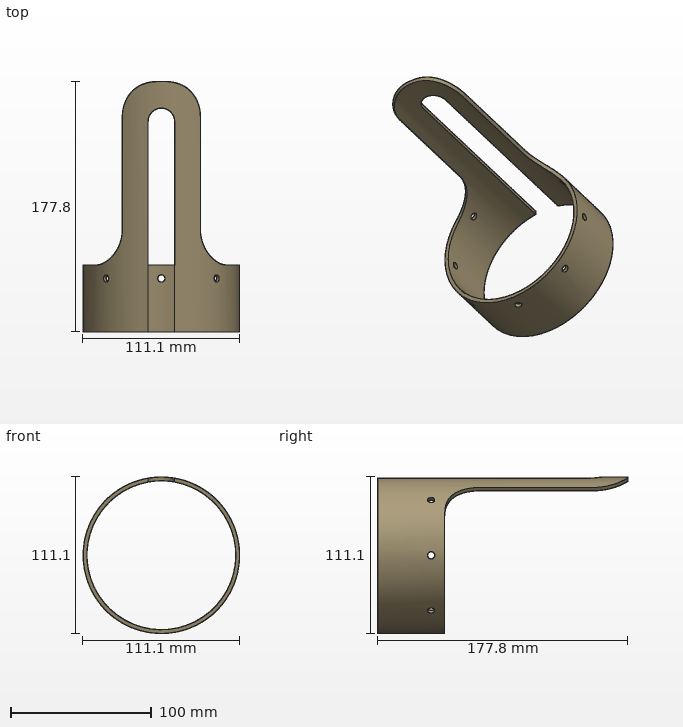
import cadquery as cq
import math

outer_diameter = 111.1
wall = 2.8
total_length = 177.8
ring_length = 47.7
tongue_angle = 60
corner_radius = 25.0
slot_width = 18.7
slot_end_y = 158.8
hole_diameter = 5.0
hole_y = 38.0
hole_count = 8

outer_radius = outer_diameter / 2
inner_radius = outer_radius - wall


def make_ring(length):
    """Tube along +Y from the front rim."""
    return cq.Workplane("XZ").circle(outer_radius).circle(inner_radius).extrude(-length)


def make_tongue():
    """Sector of the tube wall, centred on +Z, with radial side faces."""
    half_angle = math.radians(tongue_angle / 2)
    reach = 2 * outer_radius
    side_x = reach * math.sin(half_angle)
    side_z = reach * math.cos(half_angle)
    wedge = (
        cq.Workplane("XZ")
        .polyline([(0, 0), (side_x, side_z), (-side_x, side_z)])
        .close()
        .extrude(-total_length)
    )
    return make_ring(total_length).intersect(wedge)


def make_corner(corner_y, direction):
    """Block between a square corner and its round, square to a tongue side face.

    The corner lies on the side face at corner_y. With direction 1 the block
    reaches outward and up the tongue; with -1 it reaches inward and back.
    """
    reach = direction * corner_radius
    arc_offset = reach * (1 - math.sqrt(0.5))
    return (
        cq.Workplane("XY")
        .moveTo(0, corner_y)
        .lineTo(reach, corner_y)
        .threePointArc((arc_offset, corner_y + arc_offset), (0, corner_y + reach))
        .close()
        .extrude(outer_radius)
    )


def on_both_sides(corner):
    """Turn a corner block onto the +X side face and mirror it to the other."""
    turned = corner.rotate((0, 0, 0), (0, 1, 0), tongue_angle / 2)
    return turned.union(turned.mirror("YZ"))


def make_slot():
    """Slot cutter through the top wall: open at the front, round at the back."""
    slot_radius = slot_width / 2
    round_start_y = slot_end_y - slot_radius
    return (
        cq.Workplane("XY")
        .moveTo(-slot_radius, 0)
        .lineTo(slot_radius, 0)
        .lineTo(slot_radius, round_start_y)
        .threePointArc((0, slot_end_y), (-slot_radius, round_start_y))
        .close()
        .extrude(outer_radius)
    )


def make_hole(angle):
    """Radial hole cutter, turned about the tube axis from +Z."""
    return (
        cq.Workplane("XY")
        .center(0, hole_y)
        .circle(hole_diameter / 2)
        .extrude(outer_radius)
        .rotate((0, 0, 0), (0, 1, 0), angle)
    )


body = make_ring(ring_length).union(make_tongue())

root_blends = on_both_sides(make_corner(ring_length, 1))
tip_corners = on_both_sides(make_corner(total_length, -1))
body = body.union(root_blends.intersect(make_ring(total_length))).cut(tip_corners)

body = body.cut(make_slot())

for index in range(1, hole_count):
    body = body.cut(make_hole(index * 360 / hole_count))

result = body